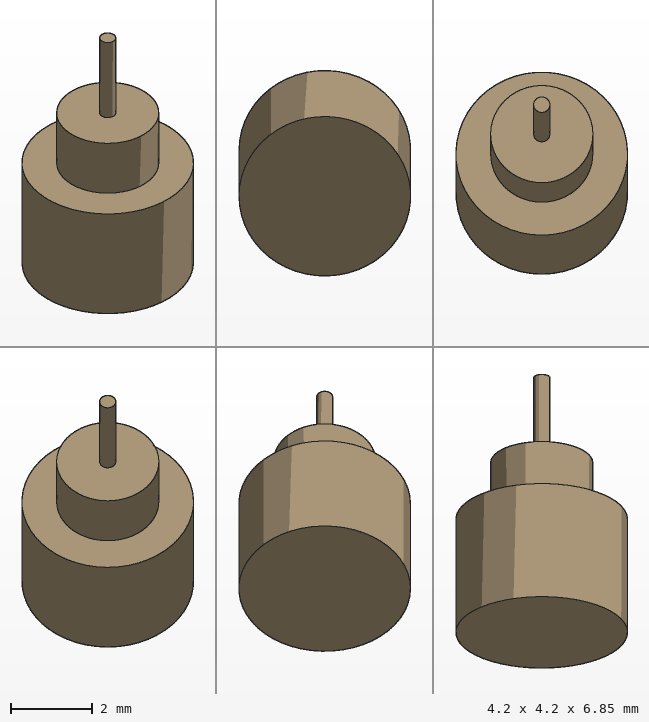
import cadquery as cq

total_height = 6.85
body_height = 3.04
neck_height = 1.52
pin_height = total_height - body_height - neck_height

body_diameter = 4.2
neck_diameter = 2.5
pin_diameter = 0.4

body = cq.Workplane("XY").circle(body_diameter / 2).extrude(body_height)

with_neck = body.faces(">Z").workplane().circle(neck_diameter / 2).extrude(neck_height)

result = with_neck.faces(">Z").workplane().circle(pin_diameter / 2).extrude(pin_height)